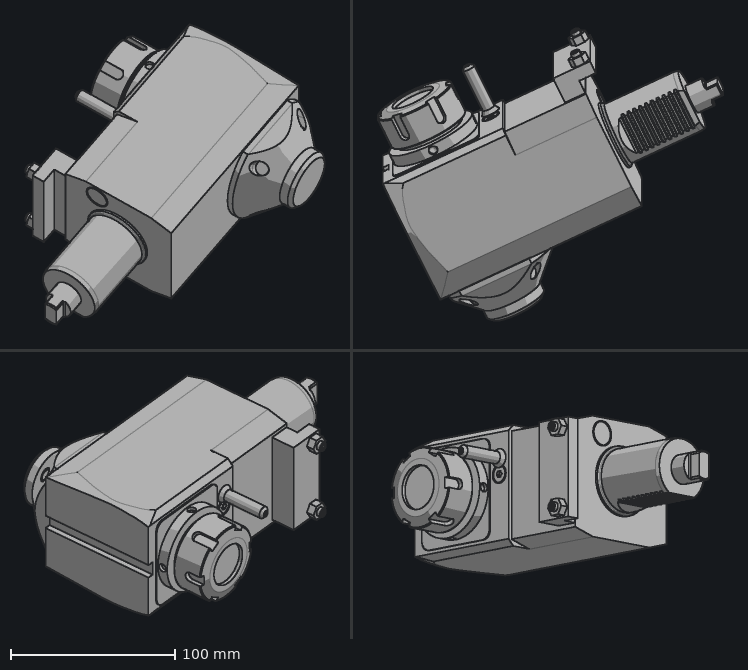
import cadquery as cq
import math


overall_length = 208
body_length = 136.0
body_right = 39.3
body_upper_left = -41.5
body_lower_left = -39.0
body_height = 75.0
half_height = body_height / 2
step_y = 55.0
bevel_angle = 15
bevel_width = 15.0
bevel_drop = bevel_width * math.tan(math.radians(bevel_angle))
left_chamfer = 4.0
back_slot_width = 9.4
back_slot_depth = 4.0

back_bevel_length = 12.0
back_bevel_stations = [
    (-42.6, 36.2, 32.9),
    (-37.6, half_height, 34.3),
    (-26.0, 39.0, 36.0),
    (-13.5, 39.0, 36.8),
    (1.2, 39.0, 36.2),
    (24.1, half_height, 34.5),
    (40.5, 36.5, 33.5),
]

collar_radius = 21.6
collar_bevel = 0.8
collar_length = 3.1
shank_diameter = 39.7
shank_radius = shank_diameter / 2
shank_length = 52.6
shank_chamfer = (0.6, 3.1)
pin_radius = 9.2
pin_end = 63.6
tang_end = overall_length - body_length
tang_width = 8.3
tang_chamfer = 0.8
tang_flat_height = 14.1
flat_height = 15.8
runout_start = 9.4
runout_rise = 5.0
tooth_pitch = 4.0
tooth_depth = 1.2
tooth_count = 10
first_tooth_y = -12.0
tooth_root_width = 1.2

spindle_y = 99.8
mount_plate_length = 58.0
mount_plate_height = 62.8
mount_plate_radius = 5.8
mount_plate_x = -42.5
ring_x = -49.7
ring_radius = 28.0
ring_hole_radius = 2.7
ring_hole_depth = 5.2
neck_radius = 21.5
nut_back_x = -52.2
nut_face_x = -74.7
nut_diameter = 50.1
nut_radius = nut_diameter / 2
nut_edge_chamfer = 0.6
nut_rim_radius = 17.9
nut_taper = 1.7
bore_radius = 13.7
bore_depth = 2.5
spanner_slot_width = 6.7
spanner_slot_depth = 3.1
spanner_slot_end = -57.5
side_slot_end = -61.5

cap_flange_x = 43.0
cap_radius = 40.0
cap_flat = 32.2
cap_back_flat = 31.5
nose_radius = 19.3
nose_end_x = 72.0
nose_chamfer = 2.5
coolant_radius = 4.5
coolant_depth = 5.5
coolant_circle = 32.2

pin_y = 63.2
coolant_pin_z = 17.5
coolant_pin_radius = 4.0
coolant_pin_tip_x = -74.3
coolant_pin_chamfer = 1.9
coolant_pin_socket = 1.9
pin_collar_radius = 5.8
pin_collar_length = 3.0
plug_z = 7.7
plug_radius = 5.6
plug_socket = 3.7
front_plug_x = -15.8
front_plug_z = 27.7
front_plug_radius = 7.7
plug_line_width = 0.5
plug_line_depth = 0.5

bracket_left = -56.0
bracket_leg_thickness = 8.3
bracket_back_y = 14.1
bracket_foot_y = 0.5
bracket_tip_y = -10.8
bracket_height = 62.0
nut_y = -4.4
nut_spacing = 49.7
hex_flats = 10.0
hex_height = 5.2
stud_radius = 3.0
stud_length = 8.3
stud_chamfer = 0.6
stud_socket = 2.7


def hex_diameter(across_flats):
    return across_flats / math.cos(math.radians(30))


def turned(axis_origin, profile):
    """Revolve an (x, radius) profile around a line parallel to X."""
    plane = cq.Workplane("XY", origin=axis_origin)
    return plane.polyline(profile).close().revolve(360, (0, 0, 0), (1, 0, 0))


def disc_x(x, y, z, radius, length):
    return cq.Workplane("YZ", origin=(x, y, z)).circle(radius).extrude(length)


def body_section(left, left_width, left_drop, start_y, end_y):
    """Block whose four long edges are bevelled, extruded along Y."""
    left_z = half_height - left_drop
    right_z = half_height - bevel_drop
    outline = [
        (left, -left_z),
        (left + left_width, -half_height),
        (body_right - bevel_width, -half_height),
        (body_right, -right_z),
        (body_right, right_z),
        (body_right - bevel_width, half_height),
        (left + left_width, half_height),
        (left, left_z),
    ]
    plane = cq.Workplane("XZ", origin=(0, start_y, 0))
    return plane.polyline(outline).close().extrude(start_y - end_y)


def back_bevel():
    """Material to remove above the crowned surface at the back end."""
    clear_z = half_height + 4.2
    left_x = back_bevel_stations[0][0]
    right_x = back_bevel_stations[-1][0]
    front_curve = [(x, front_z) for x, front_z, back_z in back_bevel_stations]
    back_curve = [(x, back_z) for x, front_z, back_z in back_bevel_stations]
    cutter = cq.Workplane("XZ", origin=(0, body_length - back_bevel_length, 0))
    cutter = cutter.moveTo(*front_curve[0]).spline(front_curve[1:], includeCurrent=True)
    cutter = cutter.lineTo(right_x, clear_z).lineTo(left_x, clear_z).close()
    cutter = cutter.workplane(offset=-back_bevel_length)
    cutter = cutter.moveTo(*back_curve[0]).spline(back_curve[1:], includeCurrent=True)
    cutter = cutter.lineTo(right_x, clear_z).lineTo(left_x, clear_z).close()
    return cutter.loft(ruled=True)


def make_body():
    lower = body_section(body_lower_left, bevel_width, bevel_drop, 0, step_y)
    upper = body_section(body_upper_left, left_chamfer, left_chamfer, step_y, body_length)
    body = lower.union(upper)
    top_bevel = back_bevel()
    body = body.cut(top_bevel).cut(top_bevel.mirror("XY"))
    slot = cq.Workplane("XY").box(4 * body_right, 2 * back_slot_depth, back_slot_width)
    return body.cut(slot.translate((0, body_length, 0)))


def make_shank():
    radial, axial = shank_chamfer
    profile = [
        (0, 0),
        (collar_radius, 0),
        (collar_radius, 2 * collar_bevel - collar_length),
        (collar_radius - collar_bevel, collar_bevel - collar_length),
        (shank_radius, -collar_length),
        (shank_radius, axial - shank_length),
        (shank_radius - radial, -shank_length),
        (pin_radius, -shank_length),
        (pin_radius, tang_chamfer - tang_end),
        (pin_radius - tang_chamfer, -tang_end),
        (0, -tang_end),
    ]
    shank = cq.Workplane("XY").polyline(profile).close().revolve(360, (0, 0, 0), (0, 1, 0))

    flat = [
        (-runout_start + runout_rise, -flat_height - runout_rise),
        (-runout_start, -flat_height),
        (-shank_length, -flat_height),
        (-shank_length, -flat_height - runout_rise),
    ]
    flat_cut = cq.Workplane("YZ").polyline(flat).close().extrude(shank_radius, both=True)
    shank = shank.cut(flat_cut)

    for index in range(tooth_count):
        y = first_tooth_y - index * tooth_pitch
        gap = [
            (y - tooth_root_width / 2 - tooth_depth / 2, -flat_height),
            (y - tooth_root_width / 2, -flat_height + tooth_depth),
            (y + tooth_root_width / 2, -flat_height + tooth_depth),
            (y + tooth_root_width / 2 + tooth_depth / 2, -flat_height),
        ]
        gap_cut = cq.Workplane("YZ").polyline(gap).close().extrude(shank_radius, both=True)
        shank = shank.cut(gap_cut)

    half_tang = tang_width / 2
    trim = [
        (half_tang, -tang_end),
        (half_tang, -pin_end - tang_chamfer),
        (half_tang + tang_chamfer, -pin_end),
        (2 * pin_radius, -pin_end),
        (2 * pin_radius, -tang_end),
    ]
    trim_cut = cq.Workplane("XY").polyline(trim).close().extrude(pin_radius, both=True)
    shank = shank.cut(trim_cut).cut(trim_cut.mirror("YZ"))

    corner = [
        (half_tang, tang_flat_height / 2),
        (half_tang - tang_chamfer, pin_radius),
        (half_tang, pin_radius),
    ]
    corner_cut = cq.Workplane("XZ", origin=(0, -pin_end - tang_chamfer, 0))
    corner_cut = corner_cut.polyline(corner).close().extrude(tang_end - pin_end)
    corner_cut = corner_cut.union(corner_cut.mirror("YZ"))
    return shank.cut(corner_cut).cut(corner_cut.mirror("XY"))


def spanner_slot(angle):
    """Round-ended slot in the collet nut, cut inwards from its outside."""
    end_x = side_slot_end if angle % 180 == 90 else spanner_slot_end
    centre_x = end_x - spanner_slot_width / 2
    floor_z = nut_radius - spanner_slot_depth
    height = 2 * spanner_slot_depth
    run = centre_x - nut_face_x
    slot = cq.Workplane("XY").box(run, spanner_slot_width, height, centered=(False, True, False))
    slot = slot.translate((nut_face_x, 0, 0))
    slot = slot.union(cq.Workplane("XY").center(centre_x, 0).circle(spanner_slot_width / 2).extrude(height))
    slot = slot.translate((0, 0, floor_z))
    return slot.rotate((0, 0, 0), (1, 0, 0), angle).translate((0, spindle_y, 0))


def make_spindle():
    plate = cq.Workplane("YZ", origin=(mount_plate_x, spindle_y, 0))
    plate = plate.rect(mount_plate_length, mount_plate_height).extrude(body_upper_left - mount_plate_x)
    plate = plate.edges("|X").fillet(mount_plate_radius)
    profile = [
        (body_upper_left, 0),
        (body_upper_left, ring_radius),
        (ring_x, ring_radius),
        (ring_x, neck_radius),
        (nut_back_x, neck_radius),
        (nut_back_x, nut_radius - nut_edge_chamfer),
        (nut_back_x - nut_edge_chamfer, nut_radius),
        (nut_face_x + nut_taper + nut_edge_chamfer, nut_radius),
        (nut_face_x + nut_taper, nut_radius - nut_edge_chamfer),
        (nut_face_x, nut_rim_radius),
        (nut_face_x, bore_radius),
        (nut_face_x + bore_depth, bore_radius),
        (nut_face_x + bore_depth, 0),
    ]
    spindle = turned((0, spindle_y, 0), profile).union(plate)
    for angle in range(30, 360, 60):
        spindle = spindle.cut(spanner_slot(angle))

    ring_hole_x = (ring_x + mount_plate_x) / 2
    hole_tip = ring_radius - ring_hole_depth
    hole_profile = [
        (0, hole_tip),
        (ring_hole_radius, hole_tip + ring_hole_radius),
        (ring_hole_radius, ring_radius + ring_hole_depth),
        (0, ring_radius + ring_hole_depth),
    ]
    for angle in range(0, 360, 90):
        hole = cq.Workplane("XZ", origin=(ring_hole_x, 0, 0)).polyline(hole_profile).close()
        hole = hole.revolve(360, (0, 0, 0), (0, 1, 0))
        hole = hole.rotate((0, 0, 0), (1, 0, 0), angle).translate((0, spindle_y, 0))
        spindle = spindle.cut(hole)
    return spindle


def make_cap():
    cone_end_x = cap_flange_x + cap_radius - nose_radius
    profile = [
        (body_right, 0),
        (body_right, cap_radius),
        (cap_flange_x, cap_radius),
        (cone_end_x, nose_radius),
        (nose_end_x - nose_chamfer, nose_radius),
        (nose_end_x, nose_radius - nose_chamfer),
        (nose_end_x, 0),
    ]
    cap = turned((0, spindle_y, 0), profile)

    taper_run = nose_end_x - cap_flange_x
    tip_z = cap_flat - taper_run * math.tan(math.radians(bevel_angle))
    envelope = [
        (body_right, -cap_flat),
        (cap_flange_x, -cap_flat),
        (nose_end_x, -tip_z),
        (nose_end_x, tip_z),
        (cap_flange_x, cap_flat),
        (body_right, cap_flat),
    ]
    limits = cq.Workplane("XZ", origin=(0, spindle_y + cap_back_flat, 0)).polyline(envelope).close()
    cap = cap.intersect(limits.extrude(cap_back_flat + cap_radius))

    mouth_x = cap_flange_x + cap_radius - coolant_circle
    for angle in range(45, 360, 90):
        mouth = cq.Workplane("XY", origin=(mouth_x, 0, coolant_circle))
        hole = mouth.circle(coolant_radius).extrude(coolant_depth, both=True)
        hole = hole.rotate((0, 0, 0), (1, 0, 0), angle).translate((0, spindle_y, 0))
        cap = cap.cut(hole)
    return cap


def make_coolant_pin():
    collar_tip_x = body_upper_left - pin_collar_length
    profile = [
        (body_upper_left, 0),
        (body_upper_left, pin_collar_radius),
        (collar_tip_x, coolant_pin_radius),
        (coolant_pin_tip_x + coolant_pin_chamfer, coolant_pin_radius),
        (coolant_pin_tip_x, coolant_pin_radius - coolant_pin_chamfer),
        (coolant_pin_tip_x, 0),
    ]
    pin = turned((0, pin_y, coolant_pin_z), profile)
    socket = cq.Workplane("YZ", origin=(coolant_pin_tip_x, pin_y, coolant_pin_z))
    return pin.cut(socket.polygon(6, hex_diameter(coolant_pin_socket)).extrude(coolant_pin_socket))


def make_bracket():
    outline = [
        (body_lower_left, bracket_back_y),
        (bracket_left, bracket_back_y),
        (bracket_left, bracket_tip_y),
        (bracket_left + bracket_leg_thickness, bracket_tip_y),
        (bracket_left + bracket_leg_thickness, bracket_foot_y),
        (body_lower_left, bracket_foot_y),
    ]
    bracket = cq.Workplane("XY").polyline(outline).close().extrude(bracket_height / 2, both=True)
    for z in (-nut_spacing / 2, nut_spacing / 2):
        nut = cq.Workplane("YZ", origin=(bracket_left, nut_y, z))
        nut = nut.polygon(6, hex_diameter(hex_flats)).extrude(-hex_height)
        stud = disc_x(bracket_left, nut_y, z, stud_radius, -stud_length)
        stud = stud.faces("<X").chamfer(stud_chamfer)
        socket = stud.faces("<X").workplane(centerOption="CenterOfMass")
        stud = socket.polygon(6, hex_diameter(stud_socket)).cutBlind(-stud_socket / 2)
        bracket = bracket.union(nut).union(stud)
    return bracket


def cut_plugs(part):
    """Fine joint lines around the two flush plugs, and the socket of the left one."""
    side = cq.Workplane("YZ", origin=(body_upper_left, pin_y, plug_z))
    joint = side.circle(plug_radius).circle(plug_radius - plug_line_width).extrude(plug_line_depth)
    socket = side.polygon(6, hex_diameter(plug_socket)).extrude(plug_socket / 2)
    pin_zone = disc_x(body_upper_left, pin_y, coolant_pin_z, pin_collar_radius, plug_line_depth)
    part = part.cut(joint.cut(pin_zone)).cut(socket)

    front = cq.Workplane("XZ", origin=(front_plug_x, 0, front_plug_z))
    front = front.circle(front_plug_radius).circle(front_plug_radius - plug_line_width)
    return part.cut(front.extrude(-plug_line_depth))


result = make_body()
for addition in (make_shank(), make_spindle(), make_cap(), make_coolant_pin(), make_bracket()):
    result = result.union(addition)
result = cut_plugs(result)